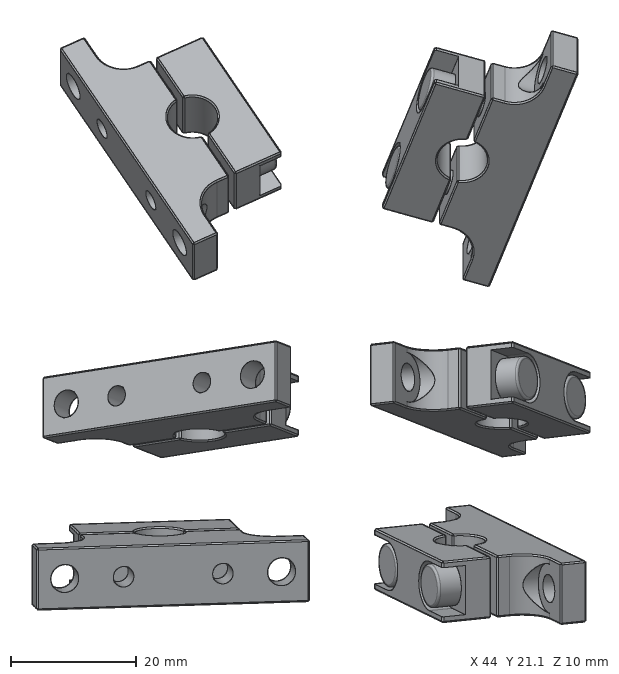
import cadquery as cq
import math

foot_length = 44.0
block_depth = 10.0
foot_height = 4.5
block_width = 26.0
saddle_height = 11.5
split_gap = 1.0
clamp_height = 8.55
edge_chamfer = 0.25
sweep_radius = 4.8

bore_diameter = 8.0

mount_hole_spacing = 35.0
mount_hole_diameter = 4.5
spotface_diameter = 8.0

screw_spacing = 16.0
shank_diameter = 4.0
shank_length = 12.0
head_diameter = 7.0
head_rounding = 0.4
tap_drill_diameter = 3.3

pocket_width = 8.0
pocket_depth = 4.0

clamp_bottom = saddle_height + split_gap
clamp_top = clamp_bottom + clamp_height
bore_center = saddle_height + split_gap / 2
pocket_floor = clamp_top - pocket_depth
screw_tip = pocket_floor - shank_length
screw_positions = [side * screw_spacing / 2 for side in (-1, 1)]
mount_positions = [side * mount_hole_spacing / 2 for side in (-1, 1)]


def rod(x, y_start, y_end, diameter):
    """Cylinder along Y at mid depth."""
    axis_plane = cq.Plane(origin=(x, y_start, 0), xDir=(1, 0, 0), normal=(0, 1, 0))
    return cq.Workplane(axis_plane).circle(diameter / 2).extrude(y_end - y_start)


def bore():
    """Round passage along Z, shared by the two clamping halves."""
    return (
        cq.Workplane("XY")
        .center(0, bore_center)
        .circle(bore_diameter / 2)
        .extrude(block_depth / 2, both=True)
    )


def make_saddle():
    half_foot = foot_length / 2
    half_block = block_width / 2
    sweep_top = foot_height + sweep_radius
    sweep_end = half_block + sweep_radius
    saddle = (
        cq.Workplane("XY")
        .moveTo(-half_foot, 0)
        .lineTo(half_foot, 0)
        .lineTo(half_foot, foot_height)
        .lineTo(sweep_end, foot_height)
        .radiusArc((half_block, sweep_top), sweep_radius)
        .lineTo(half_block, saddle_height)
        .lineTo(-half_block, saddle_height)
        .lineTo(-half_block, sweep_top)
        .radiusArc((-sweep_end, foot_height), sweep_radius)
        .lineTo(-half_foot, foot_height)
        .close()
        .extrude(block_depth / 2, both=True)
        .cut(bore())
    )
    saddle = saddle.faces("<Z or >Z or <Y or >Y").edges().chamfer(edge_chamfer)
    for x in (-half_foot, half_foot):
        corner = cq.selectors.NearestToPointSelector((x, foot_height, 0))
        saddle = saddle.edges("|Z").edges(corner).chamfer(edge_chamfer)
    for x in mount_positions:
        saddle = saddle.cut(rod(x, 0, foot_height, mount_hole_diameter))
        saddle = saddle.cut(rod(x, foot_height, saddle_height, spotface_diameter))
    for x in screw_positions:
        saddle = saddle.cut(rod(x, 0, screw_tip, tap_drill_diameter))
        saddle = saddle.cut(rod(x, screw_tip, saddle_height, shank_diameter))
    return saddle


def head_pocket(x):
    """Recess round a screw head: a round inner end, open to the nearer side wall."""
    side_wall = math.copysign(block_width / 2, x)
    round_end = rod(x, pocket_floor, clamp_top, pocket_width)
    open_end = cq.Workplane("XY").box(abs(side_wall - x), pocket_depth, pocket_width)
    open_end = open_end.translate(((x + side_wall) / 2, pocket_floor + pocket_depth / 2, 0))
    return round_end.union(open_end)


def make_clamp():
    clamp = (
        cq.Workplane("XY")
        .center(0, clamp_bottom + clamp_height / 2)
        .rect(block_width, clamp_height)
        .extrude(block_depth / 2, both=True)
        .cut(bore())
    )
    clamp = clamp.edges().chamfer(edge_chamfer)
    for x in screw_positions:
        clamp = clamp.cut(head_pocket(x))
        clamp = clamp.cut(rod(x, clamp_bottom, pocket_floor, shank_diameter))
    return clamp


def make_screw(x):
    head = rod(x, pocket_floor, clamp_top, head_diameter)
    head = head.faces(">Y").edges().fillet(head_rounding)
    return head.union(rod(x, screw_tip, pocket_floor, shank_diameter))


saddle = make_saddle()
clamp = make_clamp()
screws = [make_screw(x) for x in screw_positions]

result = cq.Compound.makeCompound([saddle.val(), clamp.val(), *[screw.val() for screw in screws]])